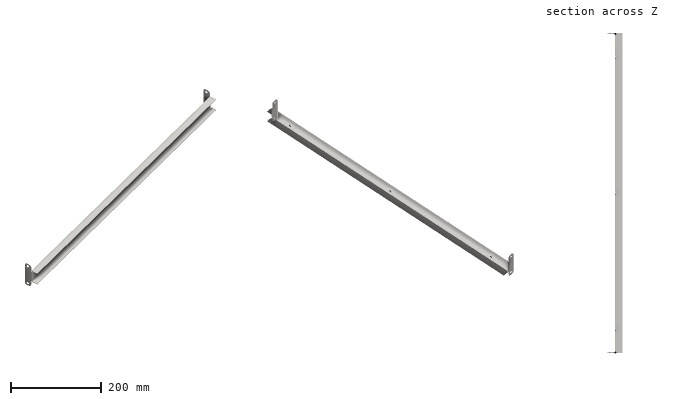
import cadquery as cq

length = 707.0
total_width = 33.0
sheet = 1.5
web_height = 32.0
flange_width = 16.0

tab_height = 62.0
tab_width = 16.0
tab_corner_radius = 6.0
tab_hole_diameter = 6.5
tab_hole_spacing = 49.5
tab_hole_x = 8.0

web_hole_diameter = 6.5
web_hole_pitch = 300.5
web_hole_z = -6.0

relief_size = 2.0
relief_width = 3.0

web_x = total_width - flange_width
web_inner_x = web_x + sheet
half_length = length / 2


def make_channel():
    """Web and two flanges, with the flange corners relieved beside the tabs."""
    outer = cq.Workplane("XY").box(flange_width, length, web_height, centered=(False, True, True))
    inside = cq.Workplane("XY").box(
        flange_width, length, web_height - 2 * sheet, centered=(False, True, True)
    )
    channel = outer.cut(inside.translate((sheet, 0, 0))).translate((web_x, 0, 0))
    relief = cq.Workplane("XY").box(2 * relief_width, 2 * relief_size, 2 * relief_size)
    for end in (-1, 1):
        for side in (-1, 1):
            corner = (web_x, end * half_length, side * web_height / 2)
            channel = channel.cut(relief.translate(corner))
    return channel


def make_tab():
    """Mounting tab at the -Y end, including the neck that joins it to the web."""
    plate = (
        cq.Workplane("XY")
        .box(tab_width, sheet, tab_height, centered=(False, False, True))
        .edges("|Y")
        .fillet(tab_corner_radius)
        .translate((0, -half_length, 0))
    )
    neck_height = web_height - 2 * relief_size
    neck = (
        cq.Workplane("XY")
        .box(web_inner_x - tab_hole_x, sheet, neck_height, centered=(False, False, True))
        .translate((tab_hole_x, -half_length, 0))
    )
    hole_offset = tab_hole_spacing / 2
    holes = (
        cq.Workplane("XZ", origin=(0, -half_length, 0))
        .pushPoints([(tab_hole_x, -hole_offset), (tab_hole_x, hole_offset)])
        .circle(tab_hole_diameter / 2)
        .extrude(sheet, both=True)
    )
    return plate.union(neck).cut(holes)


def make_web_holes():
    """Row of three holes through the web."""
    centers = [(y, web_hole_z) for y in (-web_hole_pitch, 0, web_hole_pitch)]
    return (
        cq.Workplane("YZ", origin=(web_x, 0, 0))
        .pushPoints(centers)
        .circle(web_hole_diameter / 2)
        .extrude(sheet)
    )


tab = make_tab()
result = make_channel().union(tab).union(tab.mirror("XZ")).cut(make_web_holes())